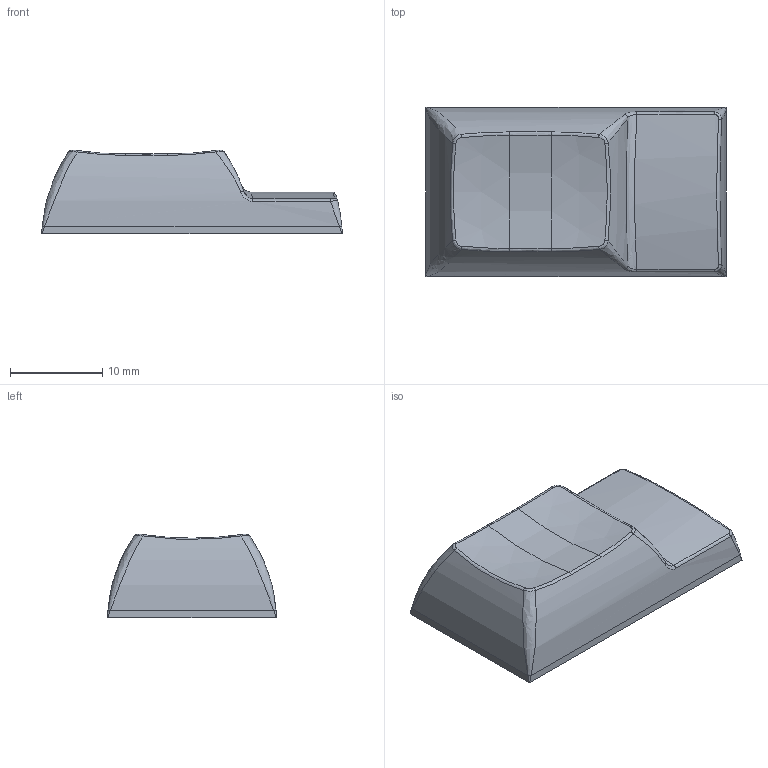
import cadquery as cq
import math

length = 32.51
width = 18.29

skirt_height = 0.8
skirt_lean = 0.06
wall_inset = 3.2
stock_top = 9.24

key_length = 22.64
key_center_x = (key_length - length) / 2

dish_radius = 33.0
dish_bottom = 8.05
trough_length = 4.53

step_crown_height = 4.5
step_crown_radius = 48.0

valley_radius = 1.0
corner_foot_radius = 0.03
skirt_corner_radius = 0.24
key_corner_radius = 1.15
step_corner_radius = 0.8
step_rim_radius = 0.35
dish_rim_radius = 0.35

clearance = 0.5


def wall_prism(plane, base_length, depth):
    """Prism with two opposite curved walls, extruded symmetrically to the given depth."""
    half = base_length / 2
    arc_in = wall_inset - skirt_lean
    arc_up = stock_top - skirt_height
    start_angle = math.atan2(skirt_lean, skirt_height)
    half_turn = math.atan2(arc_in, arc_up) - start_angle
    mid_angle = start_angle + half_turn
    radius = math.hypot(arc_in, arc_up) / (2 * math.sin(half_turn))
    mid_x = half - skirt_lean - radius * (math.cos(start_angle) - math.cos(mid_angle))
    mid_z = skirt_height + radius * (math.sin(mid_angle) - math.sin(start_angle))
    return (
        cq.Workplane(plane)
        .moveTo(-half, 0)
        .lineTo(half, 0)
        .lineTo(half - skirt_lean, skirt_height)
        .threePointArc((mid_x, mid_z), (half - wall_inset, stock_top))
        .lineTo(-half + wall_inset, stock_top)
        .threePointArc((-mid_x, mid_z), (-half + skirt_lean, skirt_height))
        .close()
        .extrude(depth / 2, both=True)
    )


def step_notch():
    """Space above the step, bounded by the key's right wall and the crowned step surface."""
    crown = (
        cq.Workplane("YZ")
        .center(0, step_crown_height - step_crown_radius)
        .circle(step_crown_radius)
        .extrude(length, both=True)
    )
    key = wall_prism("XZ", key_length, 2 * width).translate((key_center_x, 0, 0))
    block = (
        cq.Workplane("XY", origin=(0, 0, skirt_height))
        .box(length, width + 2 * clearance, stock_top, centered=(False, True, False))
    )
    notch = block.cut(crown).cut(key)
    key_right = key_center_x + key_length / 2
    valley = cq.selectors.BoxSelector(
        (key_right - wall_inset, -clearance, skirt_height + clearance),
        (key_right, clearance, step_crown_height + clearance),
    )
    return notch.edges(valley).fillet(valley_radius)


def round_corners(body, x_range, radius_at):
    """Round the rising wall corners within an X range; the radius follows the vertex height.

    Each fillet also runs on along the edges that join its corner smoothly.
    """
    builder = cq.occ_impl.shapes.BRepFilletAPI_MakeFillet(body.val().wrapped)
    for side in (-1, 1):
        zone = cq.selectors.BoxSelector(
            (x_range[0], side * width / 4, skirt_height + clearance),
            (x_range[1], side * width, stock_top - clearance),
        )
        for edge in body.edges(zone).vals():
            rise = abs(edge.endPoint().z - edge.startPoint().z)
            if rise < valley_radius:
                continue
            builder.Add(edge.wrapped)
            contour = builder.NbContours()
            for index in range(1, builder.NbEdges(contour) + 1):
                for vertex in cq.Edge(builder.Edge(contour, index)).Vertices():
                    builder.SetRadius(radius_at(vertex.Z), contour, vertex.wrapped)
    return cq.Workplane(cq.Shape.cast(builder.Shape()).Solids()[0])


def widening_radius(top_radius):
    """Corner radius rule for a full wall corner: base, top of the skirt, top of the wall."""
    def radius_at(z):
        if z < skirt_height / 2:
            return corner_foot_radius
        if z < skirt_height * 1.5:
            return skirt_corner_radius
        return top_radius
    return radius_at


def key_side_radius(z):
    """Corner radius of the key's right wall: wide at the key top, narrow along the step."""
    if z > (step_crown_height + stock_top) / 2:
        return key_corner_radius
    return step_rim_radius


def dish():
    """Capsule along X whose underside scoops out the key top."""
    half = trough_length / 2
    bulge = dish_radius * math.sqrt(0.5)
    return (
        cq.Workplane("XZ")
        .moveTo(-half - dish_radius, 0)
        .threePointArc((-half - bulge, bulge), (-half, dish_radius))
        .lineTo(half, dish_radius)
        .threePointArc((half + bulge, bulge), (half + dish_radius, 0))
        .close()
        .revolve(360, (0, 0), (1, 0))
        .translate((key_center_x, 0, dish_bottom + dish_radius))
    )


def round_dish_rim(body):
    """Round the smooth closed rim around the dish, starting from one straight trough edge."""
    rim_edge = body.edges("|X").edges(">Z").edges("<Y")
    return body.newObject(rim_edge.vals()).fillet(dish_rim_radius)


blank = wall_prism("XZ", length, width).intersect(wall_prism("YZ", width, length))
stepped = blank.cut(step_notch())
body = cq.Workplane(stepped.solids().val())

left_wall = (-length / 2, -length / 2 + wall_inset)
right_wall = (length / 2 - wall_inset, length / 2)
key_right_wall = (0, length / 4)
body = round_corners(body, left_wall, widening_radius(key_corner_radius))
body = round_corners(body, right_wall, widening_radius(step_corner_radius))
body = round_corners(body, key_right_wall, key_side_radius)

body = round_dish_rim(body.cut(dish()))
result = cq.Workplane(body.solids().val())